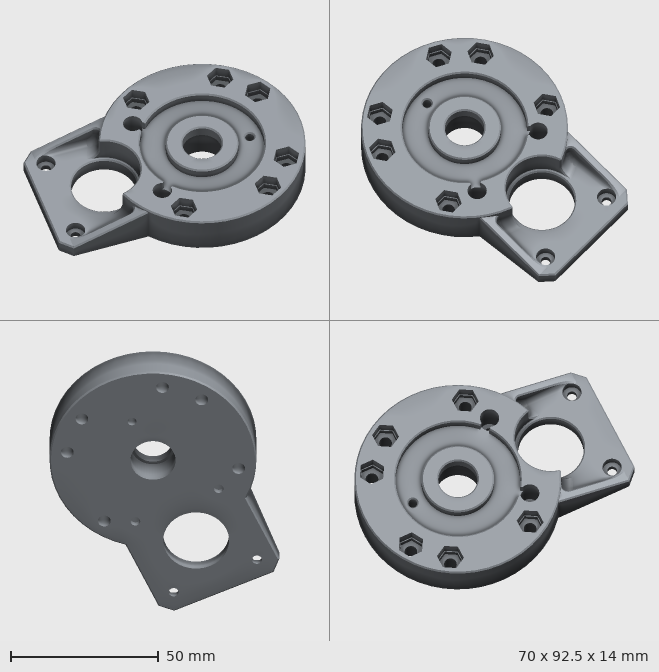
import cadquery as cq
import math

body_height = 14.0
disc_radius = 35.0
edge_break = 0.5

tolerance = 0.001

flange_half_width = 22.5
flange_end_y = -57.5
flange_thickness = 5.0
flange_corner = 4.0

rib_thickness = 3.0
rib_top_y = -25.0
rib_foot_y = flange_end_y + flange_corner
pocket_fillet = 2.0
disc_foot_fillet = 4.0

opening_y = -35.0
opening_diameter = 22.3
opening_relief_diameter = 24.6

screw_half_pitch = 15.5
screw_diameter = 3.3
screw_head_diameter = 6.5
screw_seat_z = 2.0

recess_diameter = 42.3
recess_floor_z = 10.6
boss_diameter = 24.6
bore_diameter = 13.3
lower_bore_diameter = 15.3
bore_lip_z = 10.0

slot_width = 3.4
slot_floor_z = recess_floor_z

pin_hole_diameter = 3.0
pin_hole_y = 17.0

bolt_diameter = 4.3
nut_entry_width = 7.9
nut_entry_floor_z = 10.0
nut_seat_width = 7.3
nut_seat_floor_z = 8.0
nut_near = 15.0
nut_far = 25.0


def cylinder(x, y, diameter, z_low, z_high):
    """Upright cylinder between two heights."""
    base = cq.Workplane("XY", origin=(x, y, z_low))
    return base.circle(diameter / 2).extrude(z_high - z_low)


def countersink(x, y, diameter, z_top):
    """Cone that breaks the top edge of a hole."""
    radius = diameter / 2
    profile = (
        cq.Workplane("XZ")
        .moveTo(0, 0)
        .lineTo(radius + edge_break, 0)
        .lineTo(radius, -edge_break)
        .lineTo(0, -edge_break)
        .close()
    )
    return profile.revolve(360, (0, 0, 0), (0, 1, 0)).translate((x, y, z_top))


def flange_block(height):
    """Flange outline with its two cut corners, reaching back into the disc."""
    outline = (
        cq.Workplane("XY")
        .moveTo(-flange_half_width, 0)
        .lineTo(-flange_half_width, rib_foot_y)
        .lineTo(-flange_half_width + flange_corner, flange_end_y)
        .lineTo(flange_half_width - flange_corner, flange_end_y)
        .lineTo(flange_half_width, rib_foot_y)
        .lineTo(flange_half_width, 0)
        .close()
    )
    return outline.extrude(height)


def pocket():
    """Space between the ribs, rounded along its floor, corners and disc foot."""
    half_width = flange_half_width - rib_thickness
    height = 2 * body_height
    channel = (
        cq.Workplane("XY", origin=(0, flange_end_y, flange_thickness))
        .rect(2 * half_width, 2 * -flange_end_y)
        .extrude(height)
    )
    foot_radius = disc_radius + disc_foot_fillet
    foot_top_z = flange_thickness + disc_foot_fillet
    disc_with_foot = (
        cq.Workplane("XZ")
        .moveTo(0, 0)
        .lineTo(foot_radius, 0)
        .lineTo(foot_radius, flange_thickness)
        .radiusArc((disc_radius, foot_top_z), disc_foot_fillet)
        .lineTo(disc_radius, flange_thickness + height)
        .lineTo(0, flange_thickness + height)
        .close()
        .revolve(360, (0, 0, 0), (0, 1, 0))
    )
    space = channel.cut(disc_with_foot)
    return space.faces("|X").edges("not(>Z or <Y)").fillet(pocket_fillet)


def ribbed_flange():
    """Flange with a rib along each side and the pocket between them."""
    side_profile = (
        cq.Workplane("YZ")
        .moveTo(0, 0)
        .lineTo(flange_end_y, 0)
        .lineTo(flange_end_y, flange_thickness)
        .lineTo(rib_foot_y, flange_thickness)
        .lineTo(rib_top_y, body_height)
        .lineTo(0, body_height)
        .close()
    )
    wedge = side_profile.extrude(flange_half_width, both=True)
    flange = flange_block(body_height).intersect(wedge).cut(pocket())
    slope_normal = cq.Vector(0, flange_thickness - body_height, rib_top_y - rib_foot_y)
    slope = flange.faces(cq.selectors.ParallelDirSelector(slope_normal, tolerance))
    slope_edges = slope.edges("not(|X)").vals()
    end_edges = flange.edges(
        cq.selectors.BoxSelector(
            (-flange_half_width, flange_end_y - 1, flange_thickness - tolerance),
            (flange_half_width, rib_foot_y - tolerance, flange_thickness + tolerance),
        )
    ).vals()
    return flange.newObject(slope_edges + end_edges).chamfer(edge_break)


def on_opening(edge):
    """True for edges on the wall of the wide opening, above its ledge."""
    radius = opening_relief_diameter / 2
    point = edge.positionAt(0.5)
    on_wall = abs(math.hypot(point.x, point.y - opening_y) - radius) < tolerance
    return on_wall and point.z > flange_thickness + tolerance


def outer_body():
    """Disc and ribbed flange with the wide opening and all outer edges broken."""
    disc = cylinder(0, 0, 2 * disc_radius, 0, body_height)
    body = disc.union(ribbed_flange())
    body = body.cut(
        cylinder(0, opening_y, opening_relief_diameter, flange_thickness, body_height)
    )
    rim = body.faces(">Z").edges().vals()
    wall = [edge for edge in body.edges("|Z").vals() if on_opening(edge)]
    body = body.newObject(rim + wall).chamfer(edge_break)
    return body.faces("<Z").edges().chamfer(edge_break)


def recess_and_boss():
    """Ring cut around the central boss, with both top rims broken."""
    ring = cylinder(0, 0, recess_diameter, recess_floor_z, body_height)
    ring = ring.union(countersink(0, 0, recess_diameter, body_height))
    boss = cylinder(0, 0, boss_diameter, recess_floor_z, body_height)
    return ring.cut(boss.faces(">Z").edges().chamfer(edge_break))


def central_bore():
    """Bore through the boss, wider below its lip."""
    bore = cylinder(0, 0, bore_diameter, 0, body_height)
    bore = bore.union(countersink(0, 0, bore_diameter, body_height))
    return bore.union(cylinder(0, 0, lower_bore_diameter, 0, bore_lip_z))


def motor_opening():
    """Through hole in the flange with a broken upper edge."""
    hole = cylinder(0, opening_y, opening_diameter, 0, flange_thickness)
    return hole.union(countersink(0, opening_y, opening_diameter, flange_thickness))


def screw_holes():
    """Four counterbored screw holes on a square around the opening."""
    holes = cq.Workplane("XY")
    for x in (-screw_half_pitch, screw_half_pitch):
        for y in (opening_y - screw_half_pitch, opening_y + screw_half_pitch):
            holes = holes.add(cylinder(x, y, screw_diameter, 0, body_height))
            holes = holes.add(cylinder(x, y, screw_head_diameter, screw_seat_z, body_height))
    return holes.combine()


def recess_slots():
    """Radial slots from the recess into the two screw pockets beside it."""
    screw_y = opening_y + screw_half_pitch
    reach = math.hypot(screw_half_pitch, screw_y)
    inner_end = recess_diameter / 2 - slot_width
    slots = cq.Workplane("XY")
    for side in (-1, 1):
        angle = math.degrees(math.atan2(screw_y, side * screw_half_pitch))
        slot = cq.Workplane("XY").box(
            reach - inner_end, slot_width, body_height - slot_floor_z, centered=(False, True, False)
        )
        slot = slot.translate((inner_end, 0, slot_floor_z))
        slots = slots.add(slot.rotate((0, 0, 0), (0, 0, 1), angle))
    return slots.combine()


def hexagon(x, y, width, turn, z_low):
    """Hexagonal prism of a given width across flats, up to the top of the part."""
    across_corners = width / math.cos(math.pi / 6)
    base = cq.Workplane("XY", origin=(x, y, z_low)).transformed(rotate=(0, 0, turn))
    return base.polygon(6, across_corners).extrude(body_height - z_low)


def nut_pockets():
    """Bolt holes with stepped hexagonal nut pockets, turned to suit each location."""
    crosswise_turn = 30
    pockets = cq.Workplane("XY")
    for side in (-1, 1):
        for x, y, turn in (
            (side * nut_near, nut_far, crosswise_turn),
            (side * nut_far, nut_near, 0),
            (side * nut_far, -nut_near, 0),
        ):
            pockets = pockets.add(hexagon(x, y, nut_entry_width, turn, nut_entry_floor_z))
            pockets = pockets.add(hexagon(x, y, nut_seat_width, turn, nut_seat_floor_z))
            pockets = pockets.add(cylinder(x, y, bolt_diameter, 0, body_height))
    return pockets.combine()


def pin_hole():
    """Small through hole in the recess floor with a broken edge."""
    hole = cylinder(0, pin_hole_y, pin_hole_diameter, 0, recess_floor_z)
    return hole.union(countersink(0, pin_hole_y, pin_hole_diameter, recess_floor_z))


result = (
    outer_body()
    .cut(recess_and_boss())
    .cut(central_bore())
    .cut(motor_opening())
    .cut(screw_holes())
    .cut(recess_slots())
    .cut(nut_pockets())
    .cut(pin_hole())
)